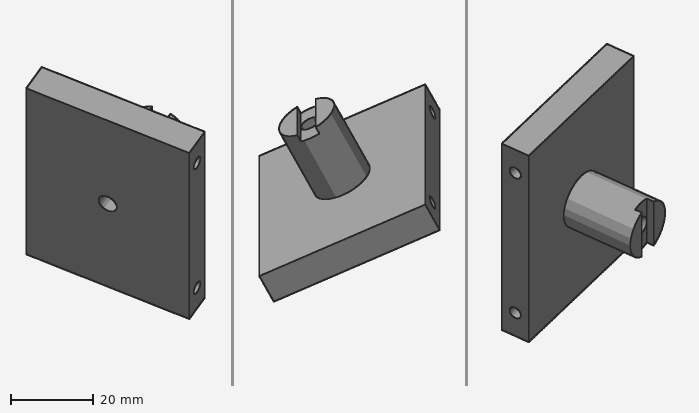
import cadquery as cq
import math

plate_width = 45.0
plate_height = 60.0
plate_thickness = 8.0

boss_diameter = 15.0
overall_depth = 27.6
boss_length = overall_depth - plate_thickness

bore_diameter = 5.0
slot_width = 5.0
slot_depth = 2.0

side_hole_diameter = 3.3
side_hole_depth = 10.0
side_hole_spacing = 45.0
drill_point_angle = 118.0


def make_plate():
    return cq.Workplane("XY").box(
        plate_width, plate_thickness, plate_height, centered=(True, False, True)
    )


def cylinder_along_y(diameter, start, length):
    axis = cq.Vector(0, 1, 0)
    return cq.Solid.makeCylinder(diameter / 2, length, cq.Vector(0, start, 0), axis)


def make_slot():
    """Slot along Z, open at the free end of the boss."""
    slot = cq.Workplane("XY").box(
        slot_width, slot_depth, boss_diameter, centered=(True, False, True)
    )
    return slot.translate((0, overall_depth - slot_depth, 0))


def make_side_hole(side, height):
    """Drilled hole with a pointed bottom; side is -1 for the -X edge, +1 for the +X edge."""
    radius = side_hole_diameter / 2
    point_length = radius / math.tan(math.radians(drill_point_angle / 2))
    inward = cq.Vector(-side, 0, 0)
    mouth = cq.Vector(side * plate_width / 2, plate_thickness / 2, height)
    bottom = mouth + inward * side_hole_depth
    shank = cq.Solid.makeCylinder(radius, side_hole_depth, mouth, inward)
    point = cq.Solid.makeCone(radius, 0, point_length, bottom, inward)
    return shank.fuse(point)


boss = cylinder_along_y(boss_diameter, plate_thickness, boss_length)
bore = cylinder_along_y(bore_diameter, 0, overall_depth)

result = make_plate().union(cq.Workplane(boss))
result = result.cut(cq.Workplane(bore))
result = result.cut(make_slot())
for side in (-1, 1):
    for height in (-side_hole_spacing / 2, side_hole_spacing / 2):
        result = result.cut(cq.Workplane(make_side_hole(side, height)))